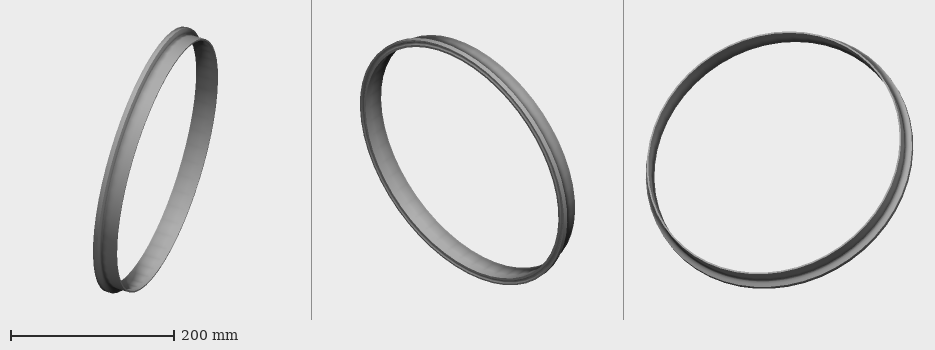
import cadquery as cq
import math

length = 28.0
flange_radius = 169.2
tube_radius = 161.8
bore_radius = 159.8

rim_width = 5.8
cone_angle = math.radians(20)
cone_end = rim_width + (flange_radius - tube_radius) * math.tan(cone_angle)
neck_fillet = 1.7

groove_radius = 165.0
groove_width = 4.5
groove_floor_width = 2.7
groove_wall_depth = 1.0
groove_depth = 1.7


def revolve_about_x(profile):
    return profile.close().revolve(360, (0, 0, 0), (1, 0, 0))


def make_body():
    body = revolve_about_x(
        cq.Workplane("XZ")
        .moveTo(0, bore_radius)
        .lineTo(0, flange_radius)
        .lineTo(rim_width, flange_radius)
        .lineTo(cone_end, tube_radius)
        .lineTo(length, tube_radius)
        .lineTo(length, bore_radius)
    )
    tolerance = 0.05
    neck_edge = cq.selectors.BoxSelector(
        (cone_end - tolerance, -flange_radius, -flange_radius),
        (cone_end + tolerance, flange_radius, flange_radius),
    )
    return body.edges(neck_edge).fillet(neck_fillet)


def make_groove():
    return revolve_about_x(
        cq.Workplane("XZ")
        .moveTo(0, groove_radius - groove_width / 2)
        .lineTo(groove_wall_depth, groove_radius - groove_floor_width / 2)
        .threePointArc(
            (groove_depth, groove_radius),
            (groove_wall_depth, groove_radius + groove_floor_width / 2),
        )
        .lineTo(0, groove_radius + groove_width / 2)
    )


result = make_body().cut(make_groove())